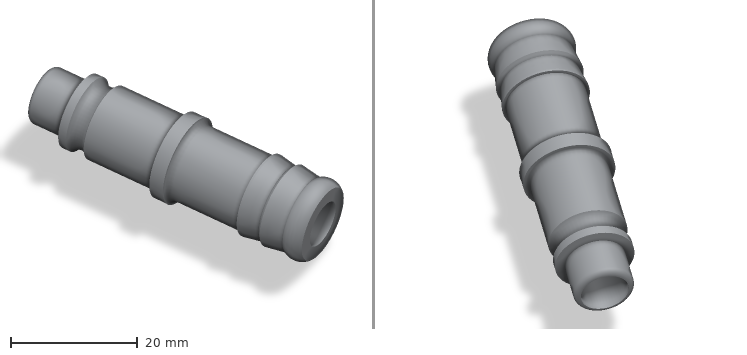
import cadquery as cq

length = 52.0

bore_radius = 7.8 / 2
tip_radius = 9.9 / 2
groove_radius = 11.0 / 2
body_radius = 12.9 / 2
shank_radius = 13.1 / 2
flange_radius = 15.0 / 2
flange_rim_radius = 15.1 / 2
barb_radius = 7.1
bead_radius = 7.1
end_face_radius = 6.35

collar_start = 6.6
groove_start = 8.35
groove_end = 11.65
flange_start = 24.45
flange_end = 27.0
first_barb_start = 40.4
second_barb_start = 44.1
bead_start = 48.45
bead_crest = 50.15

tip_round = 1.0
collar_taper_length = 0.3
flange_front_fillet = 0.4
first_barb_land = 0.35
second_barb_rise = 0.55


def quarter_point(center_x, center_radius, arc_radius, x_side, radial_side):
    """Middle point of a quarter arc lying in the given quadrant of its center."""
    reach = arc_radius * 0.5 ** 0.5
    return (center_x + x_side * reach, center_radius + radial_side * reach)


profile = (
    cq.Workplane("XY")
    .moveTo(0, bore_radius)
    .lineTo(0, tip_radius - tip_round)
    .threePointArc(
        quarter_point(tip_round, tip_radius - tip_round, tip_round, -1, 1),
        (tip_round, tip_radius),
    )
    .lineTo(collar_start, tip_radius)
)

profile = (
    profile.lineTo(collar_start + collar_taper_length, body_radius)
    .lineTo(groove_start, body_radius)
    .threePointArc(((groove_start + groove_end) / 2, groove_radius), (groove_end, body_radius))
)

profile = (
    profile.lineTo(flange_start - flange_front_fillet, body_radius)
    .threePointArc(
        quarter_point(
            flange_start - flange_front_fillet,
            body_radius + flange_front_fillet,
            flange_front_fillet, 1, -1,
        ),
        (flange_start, body_radius + flange_front_fillet),
    )
    .lineTo(flange_start, flange_radius)
)

flange_rear_fillet = flange_rim_radius - shank_radius
profile = (
    profile.lineTo(flange_end, flange_radius)
    .lineTo(flange_end, flange_rim_radius)
    .threePointArc(
        quarter_point(
            flange_end + flange_rear_fillet, flange_rim_radius, flange_rear_fillet, -1, -1
        ),
        (flange_end + flange_rear_fillet, shank_radius),
    )
)

profile = (
    profile.lineTo(first_barb_start, shank_radius)
    .lineTo(first_barb_start, barb_radius)
    .lineTo(first_barb_start + first_barb_land, barb_radius)
    .lineTo(second_barb_start, shank_radius)
    .lineTo(second_barb_start + second_barb_rise, barb_radius)
    .lineTo(bead_start, shank_radius)
)

profile = (
    profile.threePointArc((bead_crest, bead_radius), (length, end_face_radius))
    .lineTo(length, bore_radius)
    .close()
)

result = profile.revolve(360, (0, 0, 0), (1, 0, 0))